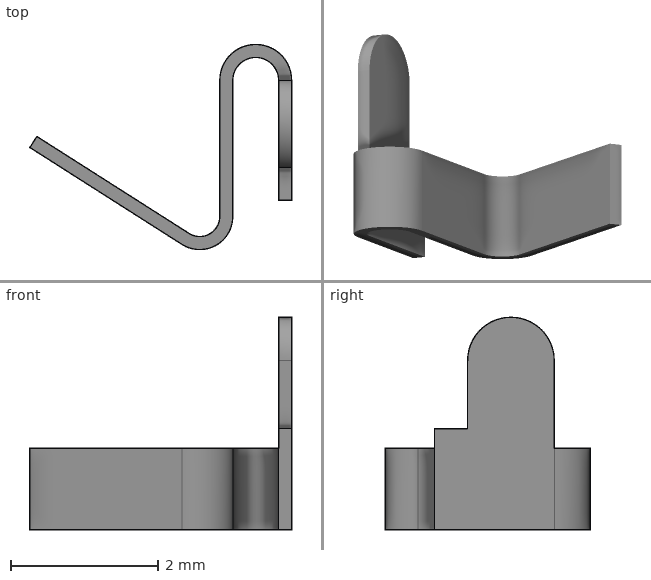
import cadquery as cq
import math

thickness = 0.18
strip_height = 1.11
overall_length = 3.56
overall_depth = 2.79

upper_bend_outer = 0.49
upper_bend_inner = upper_bend_outer - thickness
lower_bend_outer = 0.45
lower_bend_inner = lower_bend_outer - thickness
arm_angle = math.radians(32.5)

tab_height = 2.89
tab_round_width = 1.18
tab_depth = 1.63
tab_step_height = 1.375

leg_length = overall_depth - upper_bend_outer - lower_bend_outer
leg_left = -upper_bend_outer
leg_right = -upper_bend_inner
lower_axis_x = leg_right - lower_bend_outer
lower_axis_y = -leg_length
tab_radius = tab_round_width / 2


def on_lower_bend(radius, angle):
    """Point at a radius and polar angle about the lower bend axis."""
    return (lower_axis_x + radius * math.cos(angle), lower_axis_y + radius * math.sin(angle))


def make_strip():
    """Bent strip: U-bend, straight leg, lower bend and sloping arm."""
    arm_normal = -math.pi / 2 - arm_angle
    bend_middle = arm_normal / 2
    outer_start = on_lower_bend(lower_bend_outer, arm_normal)
    inner_start = on_lower_bend(lower_bend_inner, arm_normal)

    tip_x = upper_bend_outer - overall_length
    run = outer_start[0] - tip_x
    rise = run * math.tan(arm_angle)
    outer_tip = (tip_x, outer_start[1] + rise)
    inner_tip = (inner_start[0] - run, inner_start[1] + rise)

    return (
        cq.Workplane("XY")
        .moveTo(upper_bend_outer, 0)
        .threePointArc((0, upper_bend_outer), (leg_left, 0))
        .lineTo(leg_left, lower_axis_y)
        .threePointArc(on_lower_bend(lower_bend_inner, bend_middle), inner_start)
        .lineTo(*inner_tip)
        .lineTo(*outer_tip)
        .lineTo(*outer_start)
        .threePointArc(on_lower_bend(lower_bend_outer, bend_middle), (leg_right, lower_axis_y))
        .lineTo(leg_right, 0)
        .threePointArc((0, upper_bend_inner), (upper_bend_inner, 0))
        .close()
        .extrude(strip_height)
    )


def make_tab():
    """Flat round-topped tab with a lower step, on the free end of the U-bend."""
    shoulder_z = tab_height - tab_radius
    return (
        cq.Workplane("YZ", origin=(upper_bend_inner, 0, 0))
        .lineTo(0, shoulder_z)
        .threePointArc((-tab_radius, tab_height), (-tab_round_width, shoulder_z))
        .lineTo(-tab_round_width, tab_step_height)
        .lineTo(-tab_depth, tab_step_height)
        .lineTo(-tab_depth, 0)
        .close()
        .extrude(thickness)
    )


result = make_strip().union(make_tab())